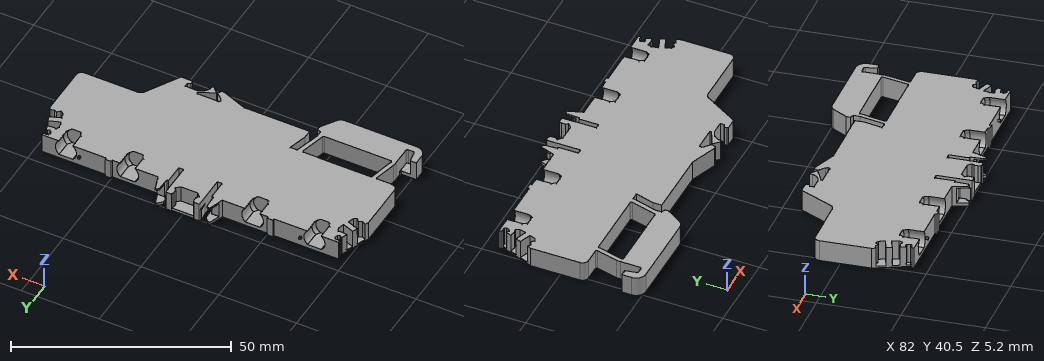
import cadquery as cq

overall_length = 82.0
overall_height = 40.5
thickness = 5.2
half_length = overall_length / 2

top_edge = 23.0
clip_top = 26.65
foot_bottom = clip_top - overall_height
rail_seat = -6.9
foot_top = -8.9
shoulder = 13.8
end_top = 38.2
slope_top = (37.7, 22.05)
end_lip = 0.5
corner_radius = 1.5

block_half_width = 4.35
slot_outer = 5.6
slot_bottom = 18.0
lug_width = 0.3
lug_height = 2.8
lug_level = 3.2
arm_tip = (6.15, 26.2)
arm_crest = (6.6, clip_top)
arm_crest_outer = (7.05, clip_top)
arm_root = 8.3
rib_bottom = 19.35
rib_root = 5.8
rib_width = 0.65
block_rounding = 0.25
arm_window_back = 0.8
arm_window_skin = 0.5
arm_window_bottom = 23.95
window_back = 0.8
window_plate_top = 26.5

entry_sizes = ((16.1, 2.8), (32.0, 2.7))
entry_axis_depth = 2.05
entry_floor = thickness - 2 * entry_axis_depth
entry_depth = 4.9
entry_taper_length = 1.1
entry_tip_reduction = 0.4

bump_center = 20.8
bump_width = 1.55
bump_height = 0.5
pip_position = 28.45
pip_radius = 0.3
pip_height = 0.5
end_pocket_back = 0.5
foot_pocket_bottom = -12.0
foot_pocket_back = 1.1
foot_radius = 2.5
leg_outer = -36.9
opening_rounding = 0.3
foot_pocket_rounding = 0.4
ledge_size = 0.3


def plate(points, z_from=0.0, z_to=thickness):
    """Flat piece with a polygon outline between two Z levels."""
    return cq.Workplane("XY", origin=(0, 0, z_from)).polyline(points).close().extrude(z_to - z_from)


def box(x_range, y_range, z_range):
    """Box given by its limits along each axis."""
    (x0, x1), (y0, y1) = x_range, y_range
    return plate([(x0, y0), (x1, y0), (x1, y1), (x0, y1)], *z_range)


def both_sides(piece):
    """The piece together with its mirror image about X = 0."""
    return piece.union(piece.mirror("YZ"))


def housing():
    """Symmetric upper body with sloped ends and rounded lower corners."""
    body = plate([
        (-half_length, 0), (half_length, 0), (half_length, shoulder),
        (slope_top[0], slope_top[1]), (end_top, top_edge - end_lip), (end_top, top_edge),
        (-end_top, top_edge), (-end_top, top_edge - end_lip), (-slope_top[0], slope_top[1]),
        (-half_length, shoulder),
    ])
    return body.edges("|Z and <Y").fillet(corner_radius)


def rail_latch_side():
    """Lower right body with the spring finger and the fixed rail hook."""
    return (
        cq.Workplane("XY")
        .moveTo(-13.4, 0)
        .lineTo(-14.7, -4.7)
        .lineTo(-14.7, rail_seat)
        .lineTo(2.2, rail_seat)
        .lineTo(8.8, -9.35)
        .lineTo(9.3, -9.35)
        .lineTo(9.8, -8.3)
        .lineTo(8.3, -7.0)
        .lineTo(7.95, -6.5)
        .lineTo(8.1, -5.9)
        .lineTo(13.85, -5.9)
        .lineTo(13.85, -6.3)
        .lineTo(10.0, -8.2)
        .lineTo(11.4, -9.7)
        .lineTo(11.9, -9.7)
        .lineTo(12.0, -8.85)
        .threePointArc((12.8, -7.6), (14.2, rail_seat))
        .lineTo(17.4, rail_seat)
        .lineTo(17.4, -7.9)
        .lineTo(16.6, -8.2)
        .lineTo(16.6, -8.85)
        .lineTo(16.8, -9.2)
        .lineTo(19.35, -9.2)
        .threePointArc((19.7, -9.1), (19.85, -8.9))
        .lineTo(24.6, -0.7)
        .threePointArc((25.1, -0.25), (25.8, 0))
        .lineTo(25.8, corner_radius)
        .lineTo(-13.4, corner_radius)
        .close()
        .extrude(thickness)
    )


def foot():
    """Rail foot hung on two slanted legs, with a parallelogram opening between them."""
    left = -half_length
    outline = (
        cq.Workplane("XY")
        .moveTo(-35.8, corner_radius)
        .lineTo(-35.8, 0)
        .threePointArc((-35.6, -0.1), (-35.5, -0.3))
        .lineTo(-36.8, -5.7)
        .threePointArc((leg_outer, -6.2), (leg_outer, -6.7))
        .lineTo(leg_outer, foot_top)
        .lineTo(left, foot_top)
        .lineTo(left, foot_bottom + foot_radius)
        .radiusArc((left + foot_radius, foot_bottom), -foot_radius)
        .lineTo(-20.0, foot_bottom)
        .threePointArc((-19.0, -13.6), (-18.3, -12.95))
        .lineTo(-15.9, -9.3)
        .lineTo(-15.9, -8.2)
        .lineTo(-16.9, -7.9)
        .lineTo(-16.9, -6.3)
        .lineTo(-15.2, 0)
        .lineTo(-15.2, corner_radius)
        .close()
        .extrude(thickness)
    )
    opening = plate([(-34.3, 0), (-35.9, rail_seat), (-18.2, rail_seat), (-16.4, 0)])
    opening = opening.edges("|Z").fillet(opening_rounding)
    hook_pocket = plate(
        [(-39.45, foot_top), (-38.9, foot_pocket_bottom),
         (leg_outer, foot_pocket_bottom), (leg_outer, foot_top)],
        foot_pocket_back,
    )
    hook_pocket = hook_pocket.edges("|Z and <Y").fillet(foot_pocket_rounding)
    ledge = box((leg_outer - ledge_size, leg_outer), (foot_top, foot_top + ledge_size),
                (0, foot_pocket_back))
    return outline.cut(opening).cut(hook_pocket).union(ledge)


def clip_tower():
    """Central block with wedge lugs, a label window and an arm on each side."""
    block = box((-block_half_width, block_half_width), (slot_bottom, clip_top), (0, thickness))
    block = block.edges("|Z and >Y").fillet(block_rounding)
    lug_top = clip_top - lug_width
    lug = plate([
        (-block_half_width, clip_top - lug_height),
        (-block_half_width - lug_width, lug_top),
        (-block_half_width, lug_top),
    ], 0, lug_level)
    return block.union(both_sides(lug)).union(both_sides(clip_arm())).cut(label_window())


def clip_arm():
    """Left arm with a raised rib on its inner face and a window through its upper end."""
    arm = plate([
        (-arm_root, top_edge), (-arm_root, slot_bottom), (-slot_outer, slot_bottom),
        (-slot_outer, rib_bottom), (-rib_root, rib_bottom), (-arm_tip[0], arm_tip[1]),
        (-arm_crest[0], arm_crest[1]), (-arm_crest_outer[0], arm_crest_outer[1]),
    ])
    rib = plate([
        (-rib_root, rib_bottom), (-rib_root + rib_width, rib_bottom),
        (-arm_tip[0] + rib_width, arm_tip[1] - rib_width), (-arm_tip[0], arm_tip[1]),
    ], 0, arm_window_back)
    window = box((-arm_root, -block_half_width), (arm_window_bottom, clip_top),
                 (arm_window_back, thickness - arm_window_skin))
    return arm.union(rib).cut(window)


def label_window():
    """Barbed recess in the top of the central block, closed by a thin back plate."""
    half_outline = [(2.1, 23.45), (3.1, 24.35), (2.6, 24.9), (2.6, 25.9), (2.9, clip_top)]
    mirrored = [(-x, y) for x, y in reversed(half_outline)]
    recess = plate(half_outline + mirrored, window_back)
    top_x = half_outline[-1][0]
    return recess.union(box((-top_x, top_x), (window_plate_top, clip_top), (0, thickness)))


def wire_entry(x, radius):
    """Round bore along Y with a tapered end, open at the front face and cut off by a flat floor."""
    straight = entry_depth - entry_taper_length
    bore = (
        cq.Workplane("XY")
        .polyline([
            (0, 0), (radius, 0), (radius, -straight),
            (radius - entry_tip_reduction, -entry_depth), (0, -entry_depth),
        ])
        .close()
        .revolve(360, (0, 0, 0), (0, 1, 0))
        .translate((x, top_edge, thickness - entry_axis_depth))
    )
    limits = box((x - radius, x + radius), (top_edge - entry_depth, top_edge),
                 (entry_floor, thickness))
    return bore.intersect(limits)


def end_pockets():
    """Three locking pockets in the left sloped end, open to the outside."""
    round_pocket = plate([
        (-38.2, 22.05), (-37.7, 22.05), (-37.4, 22.3), (-36.9, 22.1), (-36.65, 21.7),
        (-36.9, 21.0), (-37.3, 20.75), (-37.8, 21.1), (-38.5, 21.2),
    ], end_pocket_back)
    middle_pocket = plate([
        (-39.2, 19.85), (-37.2, 19.5), (-36.25, 19.7), (-35.9, 18.8), (-36.3, 17.1), (-39.5, 18.3),
    ], end_pocket_back)
    lower_pocket = plate([
        (-40.5, 17.1), (-36.9, 15.8), (-37.4, 14.35), (-38.1, 13.9),
        (-38.9, 14.7), (-39.6, 14.3), (-40.2, 14.5), (-40.8, 14.85),
    ], end_pocket_back)
    return round_pocket.union(middle_pocket).union(lower_pocket)


def edge_marks():
    """Left flat bump and round pip on the upper edge."""
    bump = box((-bump_center - bump_width / 2, -bump_center + bump_width / 2),
               (top_edge - bump_height, top_edge + bump_height), (0, thickness))
    pip = (
        cq.Workplane("XZ", origin=(-pip_position, top_edge - pip_height, thickness / 2))
        .circle(pip_radius)
        .extrude(-2 * pip_height)
    )
    return bump.union(pip)


def slot(side):
    """Gap between the central block and one arm."""
    return box((side * block_half_width, side * slot_outer), (slot_bottom, clip_top), (0, thickness))


result = housing().union(rail_latch_side()).union(foot())
for side in (-1, 1):
    result = result.cut(slot(side))
result = result.union(clip_tower())
for side in (-1, 1):
    for position, radius in entry_sizes:
        result = result.cut(wire_entry(side * position, radius))
result = result.union(both_sides(edge_marks())).cut(both_sides(end_pockets()))